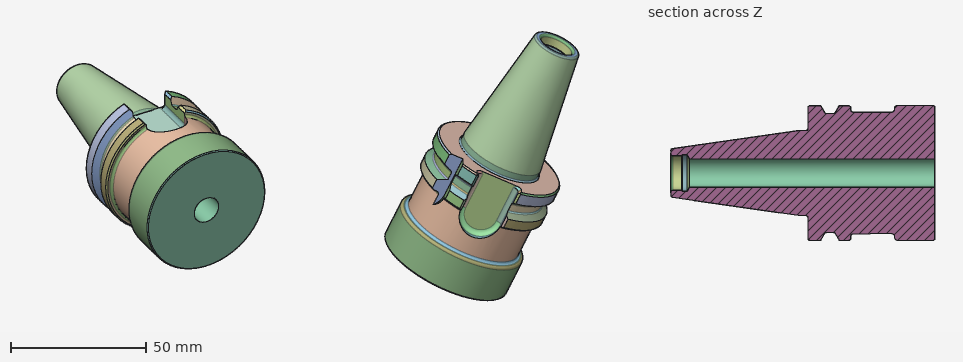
import cadquery as cq
import math

overall_length = 97.65
taper_length = 47.75
flange_face_x = 50.7
groove_start_x = 55.5
groove_end_x = 62.3
flange_back_x = 66.6
shoulder_x = 82.7

small_end_radius = 9.0
gauge_radius = 15.8
outer_radius = 25.0
groove_radius = 22.1
hub_radius = 22.6

nose_round = 0.8
neck_fillet = 0.6
flange_chamfer = 0.6
groove_flank_angle = 60.0
groove_fillet = 0.7
hub_fillet = 1.0
shoulder_round = 1.1
back_chamfer = 0.4

through_radius = 5.2
pilot_radius = 6.3
pilot_depth = 4.0
mouth_round = 0.9
relief_radius = 6.7
relief_end_x = 6.1
drill_cone_angle = 60.0

slot_half_width = 8.1
slot_front_chamfer = 1.0
slot_edge_chamfer = 0.9
upper_slot_floor = 16.4
upper_slot_fillet = 1.6
lower_slot_floor = 18.65
lower_slot_fillet = 1.9

notch_wall = 14.8
notch_end_radius = slot_half_width

clearance = 2.0
selection_tolerance = 0.05


def ring_at(x, radius):
    """Selector for the circular edge of a given radius at a given X."""
    tol = selection_tolerance
    return cq.selectors.BoxSelector(
        (x - tol, -radius - tol, -radius - tol),
        (x + tol, radius + tol, radius + tol),
        boundingbox=True,
    )


def make_body():
    flank_run = (outer_radius - groove_radius) / math.tan(math.radians(groove_flank_angle))
    floor_start_x = groove_start_x + flank_run
    floor_end_x = groove_end_x - flank_run
    body = (
        cq.Workplane("XY")
        .moveTo(0, 0)
        .lineTo(0, small_end_radius)
        .lineTo(taper_length, gauge_radius)
        .lineTo(flange_face_x, gauge_radius)
        .lineTo(flange_face_x, outer_radius - flange_chamfer)
        .lineTo(flange_face_x + flange_chamfer, outer_radius)
        .lineTo(groove_start_x, outer_radius)
        .lineTo(floor_start_x, groove_radius)
        .lineTo(floor_end_x, groove_radius)
        .lineTo(groove_end_x, outer_radius)
        .lineTo(flange_back_x - flange_chamfer, outer_radius)
        .lineTo(flange_back_x, outer_radius - flange_chamfer)
        .lineTo(flange_back_x, hub_radius)
        .lineTo(shoulder_x, hub_radius)
        .lineTo(shoulder_x, outer_radius)
        .lineTo(overall_length - back_chamfer, outer_radius)
        .lineTo(overall_length, outer_radius - back_chamfer)
        .lineTo(overall_length, 0)
        .close()
        .revolve(360, (0, 0, 0), (1, 0, 0))
    )
    rounded_rings = [
        (0, small_end_radius, nose_round),
        (flange_face_x, gauge_radius, neck_fillet),
        (floor_start_x, groove_radius, groove_fillet),
        (floor_end_x, groove_radius, groove_fillet),
        (flange_back_x, hub_radius, hub_fillet),
        (shoulder_x, hub_radius, hub_fillet),
        (shoulder_x, outer_radius, shoulder_round),
    ]
    for x, radius, rounding in rounded_rings:
        body = body.edges(ring_at(x, radius)).fillet(rounding)
    return body


def make_bore():
    """Pilot bore with a rounded mouth, an undercut with a conical bottom, then the through hole."""
    mouth_radius = pilot_radius + mouth_round
    relief_step = relief_radius - pilot_radius
    cone_length = (relief_radius - through_radius) / math.tan(math.radians(drill_cone_angle))
    return (
        cq.Workplane("XY")
        .moveTo(0, 0)
        .lineTo(0, mouth_radius)
        .radiusArc((mouth_round, pilot_radius), -mouth_round)
        .lineTo(pilot_depth, pilot_radius)
        .lineTo(pilot_depth + relief_step, relief_radius)
        .lineTo(relief_end_x, relief_radius)
        .lineTo(relief_end_x + cone_length, through_radius)
        .lineTo(overall_length, through_radius)
        .lineTo(overall_length, 0)
        .close()
        .revolve(360, (0, 0, 0), (1, 0, 0))
    )


def slot_section(x, half_width, floor, fillet):
    """Closed U-shaped wire across the slot at a given X."""
    top = outer_radius + clearance
    bend = fillet * math.sqrt(0.5)
    side = half_width - fillet
    centre = floor + fillet
    return (
        cq.Workplane("YZ", origin=(x, 0, 0))
        .moveTo(-half_width, top)
        .lineTo(-half_width, centre)
        .threePointArc((-side - bend, centre - bend), (-side, floor))
        .lineTo(side, floor)
        .threePointArc((side + bend, centre - bend), (half_width, centre))
        .lineTo(half_width, top)
        .close()
    )


def make_slot(floor, fillet):
    """Round-ended slot on the +Z side with a filleted floor and chamfered edges."""
    top = outer_radius + clearance
    run = flange_back_x - flange_face_x
    channel = slot_section(flange_face_x, slot_half_width, floor, fillet).extrude(run)
    round_end = (
        cq.Workplane("XY", origin=(flange_back_x, 0, floor))
        .circle(slot_half_width)
        .extrude(top - floor)
        .faces("<Z")
        .edges()
        .fillet(fillet)
    )

    wide = slot_section(flange_face_x, slot_half_width + slot_front_chamfer, floor, fillet).wires().val()
    narrow = slot_section(
        flange_face_x + slot_front_chamfer, slot_half_width, floor, fillet
    ).wires().val()
    front_chamfer = cq.Workplane(cq.Solid.makeLoft([wide, narrow], True))

    wide_half = slot_half_width + slot_edge_chamfer
    wide_z = math.sqrt(outer_radius ** 2 - wide_half ** 2)
    flare = top - wide_z
    edge_chamfer = (
        cq.Workplane("YZ", origin=(flange_face_x, 0, 0))
        .moveTo(-slot_half_width, wide_z - slot_edge_chamfer)
        .lineTo(slot_half_width, wide_z - slot_edge_chamfer)
        .lineTo(wide_half + flare, top)
        .lineTo(-wide_half - flare, top)
        .close()
        .extrude(run)
    )
    return channel.union(round_end).union(front_chamfer).union(edge_chamfer)


def make_notch():
    """Square corner cut through both flange rims, ending in a quarter-round sweep into the hub."""
    size = outer_radius
    block = (
        cq.Workplane("XY")
        .box(flange_back_x - flange_face_x, size, size, centered=False)
        .translate((flange_face_x, notch_wall, -notch_wall - size))
    )
    round_end = (
        cq.Workplane("XY", origin=(flange_back_x, notch_wall + notch_end_radius, -notch_wall))
        .circle(notch_end_radius)
        .extrude(-size)
    )
    return block.union(round_end)


upper_slot = make_slot(upper_slot_floor, upper_slot_fillet)
lower_slot = make_slot(lower_slot_floor, lower_slot_fillet).rotate((0, 0, 0), (1, 0, 0), 180)

result = (
    make_body()
    .cut(make_bore())
    .cut(upper_slot)
    .cut(lower_slot)
    .cut(make_notch())
)